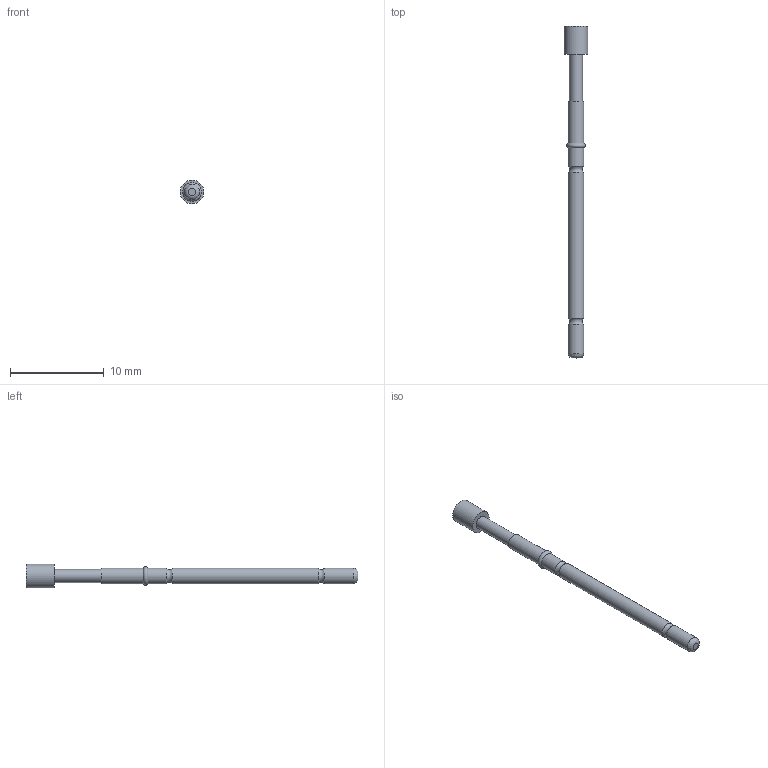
import cadquery as cq

overall_length = 35.4

head_diameter = 2.5
head_length = 3.0
plunger_diameter = 1.4

barrel_diameter = 1.65
barrel_length = 27.4
tail_radius = 0.45

bead_position = 22.65
bead_diameter = 2.0
bead_width = 0.5

crimp_positions = (3.9, 20.1)
crimp_width = 0.64
crimp_depth = 0.16

head_start = overall_length - head_length
head_radius = head_diameter / 2
plunger_radius = plunger_diameter / 2
barrel_radius = barrel_diameter / 2


def add_ring(outline, position, width, apex_radius):
    """Run along the barrel wall, then arc over a ring or groove with the given radius at its middle."""
    start = (barrel_radius, position - width / 2)
    apex = (apex_radius, position)
    end = (barrel_radius, position + width / 2)
    return outline.lineTo(*start).threePointArc(apex, end)


def add_tail(outline):
    """Flat tail end with a rounded edge up to the barrel wall."""
    outline = outline.lineTo(barrel_radius - tail_radius, 0)
    return outline.radiusArc((barrel_radius, tail_radius), -tail_radius)


def add_barrel(outline):
    """Barrel wall with both crimps and the press ring, ending at its square mouth."""
    crimp_radius = barrel_radius - crimp_depth
    for position in crimp_positions:
        outline = add_ring(outline, position, crimp_width, crimp_radius)
    outline = add_ring(outline, bead_position, bead_width, bead_diameter / 2)
    return outline.lineTo(barrel_radius, barrel_length)


def add_plunger_and_head(outline):
    """Plunger shaft and the wider cylindrical contact head."""
    return (
        outline.lineTo(plunger_radius, barrel_length)
        .lineTo(plunger_radius, head_start)
        .lineTo(head_radius, head_start)
        .lineTo(head_radius, overall_length)
        .lineTo(0, overall_length)
    )


half_outline = add_tail(cq.Workplane("XY"))
half_outline = add_barrel(half_outline)
half_outline = add_plunger_and_head(half_outline).close()

result = half_outline.revolve(360, (0, 0, 0), (0, 1, 0))